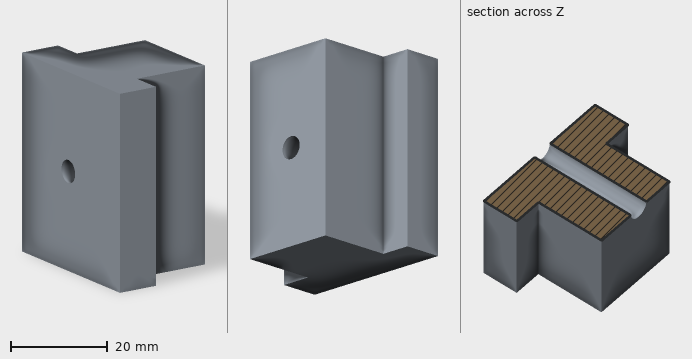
import cadquery as cq

width = 36.0
depth = 26.0
height = 43.0

flange_depth = 9.0
stem_width = 22.0

hole_diameter = 5.0
hole_offset_x = -1.0

flange = cq.Workplane("XY").box(width, flange_depth, height, centered=(True, False, True))
stem = cq.Workplane("XY").box(stem_width, depth, height, centered=(True, False, True))
hole = (
    cq.Workplane("XZ")
    .center(hole_offset_x, 0)
    .circle(hole_diameter / 2)
    .extrude(-depth)
)

result = flange.union(stem).cut(hole)